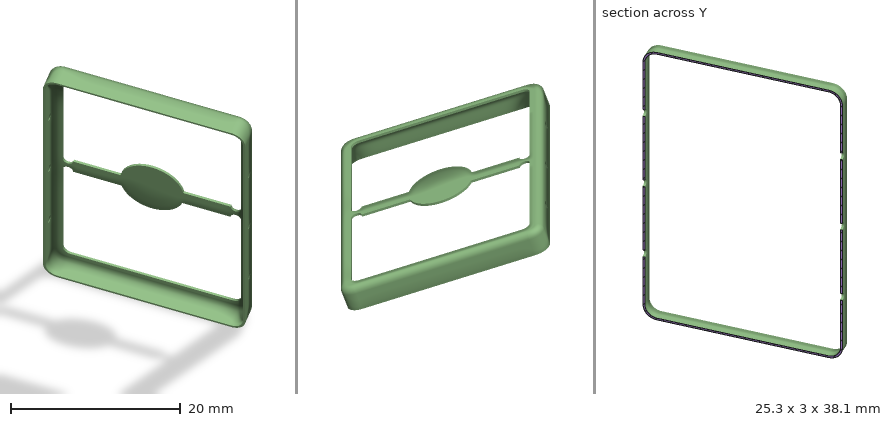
import cadquery as cq

width = 25.3
depth = 3.0
height = 38.1
wall = 0.3
corner_radius = 1.8
back_edge_radius = 0.8

ledge = 1.5
window_corner_radius = 1.0

disc_diameter = 8.0
bar_height = 2.0
bar_drop = 0.25
neck_height = 0.7
notch_radius = 0.65
neck_length = 2 * notch_radius

hole_diameter = 0.9
hole_pitch = 10.0
hole_count = 3
hole_setback = 1.4

window_width = width - 2 * ledge
window_height = height - 2 * ledge
front_y = -depth / 2
back_y = depth / 2
floor_front_y = back_y - wall


def upright_block(size_x, size_z, y_start, y_end, radius):
    """Block extruded along Y with rounded corners in the XZ outline."""
    return (
        cq.Workplane("XZ", origin=(0, y_start, 0))
        .rect(size_x, size_z)
        .extrude(y_start - y_end)
        .edges("|Y")
        .fillet(radius)
    )


def make_shell():
    """Thin-walled tray with a rounded back edge inside and out."""
    outer = upright_block(width, height, front_y, back_y, corner_radius)
    outer = outer.faces(">Y").edges().fillet(back_edge_radius)
    cavity = upright_block(
        width - 2 * wall, height - 2 * wall, front_y, floor_front_y, corner_radius - wall
    )
    cavity = cavity.faces(">Y").edges().fillet(back_edge_radius - wall)
    return outer.cut(cavity)


def make_crossbar():
    """Flat bar and disc, as thick as the floor and flush with it, with a notched neck at each end."""
    plane = cq.Workplane("XZ", origin=(0, floor_front_y, 0))
    bar_length = window_width - 2 * neck_length
    disc = plane.circle(disc_diameter / 2).extrude(-wall)

    bar_plane = plane.center(0, -bar_drop)
    bar = bar_plane.rect(bar_length, bar_height).extrude(-wall)
    neck_x = (window_width - neck_length) / 2
    notch_z = neck_height / 2 + notch_radius
    necks = bar_plane.pushPoints([(-neck_x, 0), (neck_x, 0)])
    necks = necks.rect(neck_length, bar_height).extrude(-wall)
    notch_centers = [(x, z) for x in (-neck_x, neck_x) for z in (-notch_z, notch_z)]
    notches = bar_plane.pushPoints(notch_centers).circle(notch_radius).extrude(-wall)
    return bar.union(disc).union(necks.cut(notches))


def make_side_holes():
    """Row of round cutters running along X through both side walls."""
    return (
        cq.Workplane("YZ", origin=(-width / 2, front_y + hole_setback, 0))
        .rarray(1, hole_pitch, 1, hole_count)
        .circle(hole_diameter / 2)
        .extrude(width)
    )


window = upright_block(window_width, window_height, front_y, back_y, window_corner_radius)
result = make_shell().cut(window).union(make_crossbar()).cut(make_side_holes())